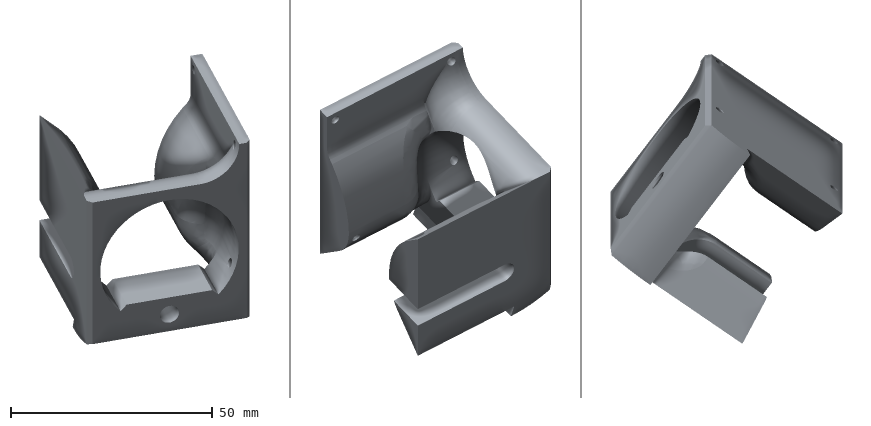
import cadquery as cq
import math

length = 41.2
width = 42.3
height = 55.3
base_z = 3.0
block_top = base_z + width
center_y = width / 2
center_z = base_z + width / 2
back_thickness = 3.05

plate_thickness = 11.95
plate_front = length - plate_thickness
blend_radius = height - block_top
round_center_x = plate_front + blend_radius
sweep_y = width - back_thickness - blend_radius
bore_radius = 18.0
ledge_z = 13.05
tab_hole_radius = 2.5
corner_chamfer = 1.15

wall_bulge = 12.5
bulge_z = 21.3
lower_slope_depth = 8.4
upper_slope_depth = 5.2
back_fillet = 4.4
nose_end = 24.1
nose_round = 7.75
nose_root_fillet = 5.0

slot_width = 6.0
slot_center_z = 16.9
slot_end = 29.2

screw_radius = 1.15
screw_inset = 2.55
screw_pitch = 35.0

hook_tip_x = 28.2
hook_mid = (35.4, 0.9)


def bulge_arc_middle(depth, z):
    """Middle of the arc that leaves the bulge upright and ends at the given point."""
    drop = wall_bulge - depth
    rise = z - bulge_z
    radius = (drop**2 + rise**2) / (2 * drop)
    half_angle = math.asin(rise / radius) / 2
    return wall_bulge - radius * (1 - math.cos(half_angle)), bulge_z + radius * math.sin(half_angle)


def wall_outline():
    """Front wall section: two 45 degree slopes joined by two arcs that meet at the bulge."""
    lower_end = (lower_slope_depth, base_z + lower_slope_depth)
    upper_end = (upper_slope_depth, block_top - upper_slope_depth)
    return (
        cq.Workplane("YZ")
        .moveTo(0, base_z)
        .lineTo(*lower_end)
        .threePointArc(bulge_arc_middle(*lower_end), (wall_bulge, bulge_z))
        .threePointArc(bulge_arc_middle(*upper_end), upper_end)
        .lineTo(0, block_top)
        .close()
    )


def x_cylinder(radius, start, end, y=center_y, z=center_z):
    return cq.Workplane("YZ", origin=(start, y, z)).circle(radius).extrude(end - start)


def make_wall():
    """Front wall with a rounded nose that falls away to a relief around the bore."""
    wall = wall_outline().extrude(plate_front)
    wall = wall.cut(x_cylinder(bore_radius, nose_end, plate_front))
    root_point = (nose_end, center_y - bore_radius, center_z)
    wall = wall.edges(cq.NearestToPointSelector(root_point)).fillet(nose_root_fillet)
    rim_point = (nose_end, wall_bulge, bulge_z)
    wall = wall.edges(cq.NearestToPointSelector(rim_point)).fillet(nose_round)
    beside_plate = wall_outline().extrude(plate_thickness).translate((plate_front, 0, 0))
    return wall.union(beside_plate)


def make_slot():
    """Slot through the front wall, open at the -X end and round at the other."""
    radius = slot_width / 2
    bar_end = slot_end - radius
    bar = cq.Workplane("XY").box(bar_end, center_y, slot_width, centered=(False, False, True))
    tip = cq.Workplane("XZ").center(bar_end, 0).circle(radius).extrude(-center_y)
    return bar.union(tip).translate((0, 0, slot_center_z))


def make_back_wall(plain_wall):
    """Mirror of the front wall, carried up to the full height as a flat plate."""
    inner_y = width - back_thickness
    upright = cq.Workplane("XY").box(length, back_thickness, height - center_z, centered=False)
    wall = plain_wall.mirror("XZ", (0, center_y, 0)).union(upright.translate((0, inner_y, center_z)))
    corner_z = block_top - back_thickness
    half_turn = math.radians(45) / 2
    reach = back_fillet * math.tan(half_turn)
    diagonal = reach * math.sqrt(0.5)
    middle = (
        inner_y - back_fillet * (1 - math.cos(half_turn)),
        corner_z + reach - back_fillet * math.sin(half_turn),
    )
    corner = (
        cq.Workplane("YZ")
        .moveTo(inner_y, corner_z)
        .lineTo(inner_y, corner_z + reach)
        .threePointArc(middle, (inner_y - diagonal, corner_z - diagonal))
        .close()
        .extrude(plate_front)
    )
    return wall.union(corner)


def plate_blank():
    """Plate whose upper -X edge is rounded and whose top sweeps up to the back wall."""
    arc_diagonal = blend_radius * math.sqrt(0.5)
    round_center_z = block_top - blend_radius
    blank = (
        cq.Workplane("XZ")
        .moveTo(plate_front, base_z)
        .lineTo(plate_front, round_center_z)
        .threePointArc(
            (round_center_x - arc_diagonal, round_center_z + arc_diagonal),
            (round_center_x, block_top),
        )
        .lineTo(length, block_top)
        .lineTo(length, base_z)
        .close()
        .extrude(-sweep_y)
    )
    corner = cq.Workplane("XY").box(plate_thickness, width - sweep_y, height - base_z, centered=False)
    corner = corner.translate((plate_front, sweep_y, base_z))
    sweep_cut = (
        cq.Workplane("XY", origin=(0, sweep_y, height))
        .moveTo(plate_front, 0)
        .lineTo(plate_front, 2 * blend_radius)
        .threePointArc(
            (round_center_x - arc_diagonal, 2 * blend_radius - arc_diagonal),
            (round_center_x, blend_radius),
        )
        .lineTo(length, blend_radius)
        .lineTo(length, 0)
        .close()
        .revolve(360, (0, 0, 0), (1, 0, 0))
    )
    return blank.union(corner.cut(sweep_cut))


def make_hook():
    """Lip under the plate with an undercut front face and an arched underside."""
    return (
        cq.Workplane("XZ")
        .moveTo(plate_front, base_z)
        .lineTo(hook_tip_x, 0)
        .threePointArc(hook_mid, (length, base_z))
        .close()
        .extrude(-width)
    )


def make_bore():
    """Round opening through the plate that leaves a flat-topped tab standing in its bottom."""
    tab_top_inset = ledge_z - base_z
    tab = (
        cq.Workplane("YZ", origin=(plate_front, 0, 0))
        .moveTo(0, base_z)
        .lineTo(tab_top_inset, ledge_z)
        .lineTo(width - tab_top_inset, ledge_z)
        .lineTo(width, base_z)
        .close()
        .extrude(plate_thickness)
    )
    return x_cylinder(bore_radius, plate_front, length).cut(tab)


def make_corner_chamfers():
    """Prisms along the two upright +X corners."""
    cutter = (
        cq.Workplane("XY")
        .moveTo(length, 0)
        .lineTo(length - corner_chamfer, 0)
        .lineTo(length, corner_chamfer)
        .close()
        .extrude(height)
    )
    return cutter.union(cutter.mirror("XZ", (0, center_y, 0)))


def make_screw_holes():
    holes = cq.Workplane("XZ", origin=(0, center_y, 0))
    centers = [
        (x, z)
        for x in (screw_inset, screw_inset + screw_pitch)
        for z in (height - screw_inset, height - screw_inset - screw_pitch)
    ]
    return holes.pushPoints(centers).circle(screw_radius).extrude(-center_y)


side_wall = make_wall()
tab_hole = x_cylinder(tab_hole_radius, plate_front, length, z=(base_z + ledge_z) / 2)

result = (
    plate_blank()
    .union(side_wall.cut(make_slot()))
    .union(make_back_wall(side_wall))
    .union(make_hook())
    .cut(make_bore())
    .cut(tab_hole)
    .cut(make_corner_chamfers())
    .cut(make_screw_holes())
    .clean()
)